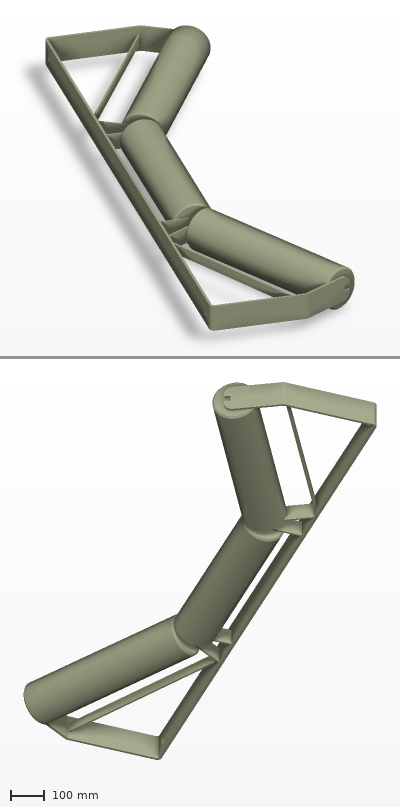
import cadquery as cq
import math

frame_length = 1800.0
strip_width = 81.0
strip_thickness = 8.0
bar_thickness = 6.0
bend_radius = 15.0

roller_diameter = 133.0
roller_length = 572.0
roller_chamfer = 5.0
gauge = 576.0
trough_angle = 30.0
toe_drop = 7.0
middle_axis_y = 125.0
side_center_x = 569.0
side_center_y = 279.0

tab_rise = 30.0
tab_corner_radius = 27.0
bracket_height = 155.0
bracket_width = 50.0
slot_width = 16.0
shaft_height = 20.0
slot_reach = 72.0

brace_drop = 153.0
brace_width = 30.0

mount_slot_width = 15.0
mount_slot_height = 27.0
mount_slot_inset = 49.0

half_length = frame_length / 2
half_gauge = gauge / 2
tab_outer = half_gauge + strip_thickness
leg_outer = half_gauge + bar_thickness
cos_tilt = math.cos(math.radians(trough_angle))
sin_tilt = math.sin(math.radians(trough_angle))
toe_angle = math.degrees(math.asin(toe_drop / gauge))


def tilted_point(along, up):
    """XY point given along and across the left roller's axis, from its centre."""
    x = -side_center_x + along * cos_tilt + up * sin_tilt
    y = side_center_y - along * sin_tilt + up * cos_tilt
    return (x, y)


def plate_point_at_x(along, x):
    """Point at a given X on the plane square to the left roller's axis."""
    up = (x + side_center_x - along * cos_tilt) / sin_tilt
    return tilted_point(along, up)


def plate_point_at_y(along, y):
    """Point at a given Y on the plane square to the left roller's axis."""
    up = (y - side_center_y + along * sin_tilt) / cos_tilt
    return tilted_point(along, up)


def brace_point_at_x(up, x):
    """Point at a given X on a line parallel to the left roller's axis."""
    along = (x + side_center_x - up * sin_tilt) / cos_tilt
    return tilted_point(along, up)


def brace_point_at_y(up, y):
    """Point at a given Y on a line parallel to the left roller's axis."""
    along = (side_center_y + up * cos_tilt - y) / sin_tilt
    return tilted_point(along, up)


def strip(points, width):
    """Solid of a closed XY outline, centred on Z = 0."""
    return cq.Workplane("XY").polyline(points).close().extrude(width / 2, both=True)


def mirrored(points):
    return [(-x, y) for x, y in reversed(points)]


def place_side(body):
    """Move a body from the origin to the left roller, tilted and with its inner end lowered."""
    toed = body.rotate((0, 0, 0), (0, 1, 0), toe_angle)
    tilted = toed.rotate((0, 0, 0), (0, 0, 1), -trough_angle)
    return tilted.translate((-side_center_x, side_center_y, -toe_drop / 2))


def place_middle(body):
    return body.translate((0, middle_axis_y, -toe_drop))


def mirror_x(body):
    return body.mirror("YZ")


def make_roller(left_end, right_end):
    """Roller along X whose rectangular shaft ends at the given distances from its middle."""
    drum_end = cq.Workplane("YZ", origin=(-roller_length / 2, 0, 0))
    drum = drum_end.circle(roller_diameter / 2).extrude(roller_length)
    drum = drum.faces("<X or >X").chamfer(roller_chamfer)
    shaft_start = cq.Workplane("YZ", origin=(-left_end, 0, 0))
    shaft = shaft_start.rect(shaft_height, slot_width).extrude(left_end + right_end)
    return drum.union(shaft)


def make_shaft_slots():
    """Cutters at both plates of a roller along X, open towards +Y."""
    height = shaft_height / 2 + slot_reach
    depth = 2 * strip_thickness
    slot = cq.Workplane("XY").box(depth, height, slot_width)
    offset_y = (slot_reach - shaft_height / 2) / 2
    right_slot = slot.translate((half_gauge + strip_thickness / 2, offset_y, 0))
    return right_slot.union(mirror_x(right_slot))


side_slots = place_side(make_shaft_slots())
middle_slots = place_middle(make_shaft_slots())


def make_frame():
    """Bent strip: base, upright ends and tabs leaning in behind the outer rollers."""
    inner_x = -half_length + strip_thickness
    outer_side = [
        tilted_point(-tab_outer, tab_rise),
        plate_point_at_x(-tab_outer, -half_length),
        (-half_length, 0),
    ]
    inner_side = [
        (inner_x, strip_thickness),
        plate_point_at_x(-half_gauge, inner_x),
        tilted_point(-half_gauge, tab_rise),
    ]
    frame = strip(outer_side + mirrored(outer_side) + mirrored(inner_side) + inner_side, strip_width)
    frame = round_bends(frame)
    frame = round_tab_corners(frame)
    mounts = (
        cq.Workplane("XZ")
        .pushPoints([(-half_length + mount_slot_inset, 0), (half_length - mount_slot_inset, 0)])
        .slot2D(mount_slot_height, mount_slot_width, 90)
        .extrude(-strip_thickness)
    )
    return frame.cut(mounts).cut(side_slots).cut(mirror_x(side_slots))


def round_edges(body, edge_centers, radius):
    """Fillet the edge whose middle lies at each of the given points."""
    for point in edge_centers:
        body = body.edges(cq.NearestToPointSelector(point)).fillet(radius)
    return body


def round_bends(frame):
    """Concentric radii at the two base corners and where the tabs lean in."""
    inner_x = half_length - strip_thickness
    tab_bend_outer = plate_point_at_x(-tab_outer, -half_length)[1]
    tab_bend_inner = plate_point_at_x(-half_gauge, -inner_x)[1]
    outer_edges = [(side * half_length, y, 0) for side in (-1, 1) for y in (0, tab_bend_outer)]
    inner_edges = [
        (side * inner_x, y, 0) for side in (-1, 1) for y in (strip_thickness, tab_bend_inner)
    ]
    frame = round_edges(frame, outer_edges, bend_radius)
    return round_edges(frame, inner_edges, bend_radius - strip_thickness)


def round_tab_corners(frame):
    """Rounded corners at the free end of each tab."""
    x, y = tilted_point(-half_gauge - strip_thickness / 2, tab_rise)
    half_width = strip_width / 2
    corners = [(side * x, y, level * half_width) for side in (-1, 1) for level in (-1, 1)]
    return round_edges(frame, corners, tab_corner_radius)


def make_bracket():
    """Folded strip: one leg square to the left roller, one upright beside the middle one."""
    web_y = bracket_height - bar_thickness
    leaning_shoulder = plate_point_at_y(half_gauge, bracket_height)
    upright_shoulder = (-half_gauge, bracket_height)
    outline = [
        plate_point_at_y(half_gauge, strip_thickness),
        leaning_shoulder,
        upright_shoulder,
        (-half_gauge, strip_thickness),
        (-leg_outer, strip_thickness),
        (-leg_outer, web_y),
        plate_point_at_y(leg_outer, web_y),
        plate_point_at_y(leg_outer, strip_thickness),
    ]
    bracket = strip(outline, bracket_width).translate((0, 0, -toe_drop))
    shoulders = [(x, y, -toe_drop) for x, y in (leaning_shoulder, upright_shoulder)]
    bracket = round_edges(bracket, shoulders, bar_thickness)
    return bracket.cut(side_slots).cut(middle_slots)


def make_brace():
    """Flat bar from the frame's upright end down to its base, parallel to the roller."""
    top = -brace_drop + bar_thickness / 2
    bottom = -brace_drop - bar_thickness / 2
    wall_x = -half_length + strip_thickness
    outline = [
        brace_point_at_x(bottom, wall_x),
        brace_point_at_x(top, wall_x),
        brace_point_at_y(top, strip_thickness),
        brace_point_at_y(bottom, strip_thickness),
    ]
    return strip(outline, brace_width)


frame = make_frame()
middle_roller = place_middle(make_roller(leg_outer, leg_outer))
left_roller = place_side(make_roller(tab_outer, leg_outer))
left_bodies = [left_roller, make_bracket(), make_brace()]

bodies = [frame.val(), middle_roller.val()]
for body in left_bodies:
    bodies.append(body.val())
    bodies.append(mirror_x(body).val())

result = cq.Compound.makeCompound(bodies)